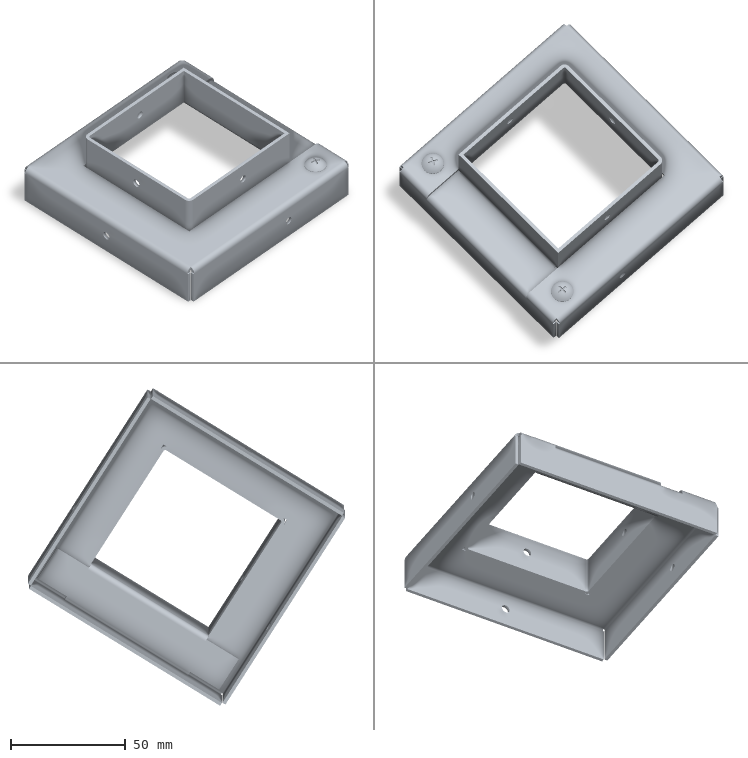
import cadquery as cq
import math

cover_side = 101.6
cover_height = 18.3
total_height = 35.0
collar_side = 63.5

sheet = 1.5
inner_bend = 0.9
outer_bend = inner_bend + sheet

skirt_width = 98.2
skirt_bend_width = 97.3

panel_top = cover_height - sheet
wing_span = 93.5
wing_back = 47.8

front_hole_diameter = 3.8
side_hole_diameter = 3.5
skirt_hole_z = 8.7
collar_hole_z = 27.0
skirt_side_hole_y = 11.2
collar_side_hole_y = 2.3

screw_x = 41.2
screw_y = 38.2
head_diameter = 9.8
head_height = 2.5
head_rim = 0.2
shank_diameter = 4.2
recess_length = 4.3
recess_width = 0.8
recess_depth = 1.0
screw_turns = {-screw_x: 0.0, screw_x: -23.0}

half_cover = cover_side / 2
half_collar = collar_side / 2
plate_edge = half_cover - outer_bend
collar_inside = collar_side - 2 * sheet
panel_underside = panel_top - sheet


def block(x_range, y_range, z_range):
    """Axis-aligned block between pairs of limits."""
    size = [high - low for low, high in (x_range, y_range, z_range)]
    return cq.Workplane("XY").box(*size, centered=False).translate((x_range[0], y_range[0], z_range[0]))


def bend(x_range, center_y, center_z, quadrant_y, quadrant_z):
    """Quarter ring of bent sheet around an axis along X, in the quadrant given by the two signs."""
    diagonal = math.sqrt(0.5)

    def point(radius, along_y, along_z):
        return (center_y + quadrant_y * radius * along_y, center_z + quadrant_z * radius * along_z)

    return (
        cq.Workplane("YZ", origin=(x_range[0], 0, 0))
        .moveTo(*point(inner_bend, 1, 0))
        .lineTo(*point(outer_bend, 1, 0))
        .threePointArc(point(outer_bend, diagonal, diagonal), point(outer_bend, 0, 1))
        .lineTo(*point(inner_bend, 0, 1))
        .threePointArc(point(inner_bend, diagonal, diagonal), point(inner_bend, 1, 0))
        .close()
        .extrude(x_range[1] - x_range[0])
    )


def back_skirt(top, bend_half_width, flange_half_width):
    """Bend and flange along the +Y edge of a plate whose upper face is at the height `top`."""
    bend_z = top - outer_bend
    flange = block(
        (-flange_half_width, flange_half_width), (half_cover - sheet, half_cover), (0, bend_z)
    )
    return bend((-bend_half_width, bend_half_width), plate_edge, bend_z, 1, 1).union(flange)


def hole_along_x(diameter, y, z):
    """Cutter that passes through both side walls."""
    return cq.Workplane("YZ", origin=(-half_cover, y, z)).circle(diameter / 2).extrude(cover_side)


def hole_along_y(diameter, z):
    """Cutter on the centre plane that passes through the front wall only."""
    return cq.Workplane("XZ", origin=(0, 0, z)).circle(diameter / 2).extrude(half_cover)


def screw_holes(top):
    """Cutters for the two screw shanks through one sheet whose upper face is at `top`."""
    return (
        cq.Workplane("XY", origin=(0, 0, top))
        .pushPoints([(x, screw_y) for x in screw_turns])
        .circle(shank_diameter / 2)
        .extrude(-sheet)
    )


def make_cover():
    """Square plate with a skirt on each side and a collar opening that runs out at the back."""
    body = block((-plate_edge, plate_edge), (-plate_edge, plate_edge), (panel_top, cover_height))
    for turn in range(4):
        skirt = back_skirt(cover_height, skirt_bend_width / 2, skirt_width / 2)
        body = body.union(skirt.rotate((0, 0, 0), (0, 0, 1), 90 * turn))
    opening = block((-half_collar, half_collar), (-half_collar, half_cover), (panel_top, cover_height))
    skirt_gap = block((-half_collar, half_collar), (plate_edge, half_cover), (0, cover_height))
    body = body.cut(opening).cut(skirt_gap).cut(screw_holes(cover_height))
    body = body.cut(hole_along_x(side_hole_diameter, skirt_side_hole_y, skirt_hole_z))
    return body.cut(hole_along_y(front_hole_diameter, skirt_hole_z))


def make_collar():
    """U-shaped wall, open at the back, with rounded front corners."""
    height = total_height - panel_top
    outside = cq.Workplane("XY", origin=(0, 0, panel_top)).rect(collar_side, collar_side).extrude(height)
    outside = outside.edges("|Z and <Y").fillet(outer_bend)
    inside = (
        cq.Workplane("XY", origin=(0, sheet, panel_top))
        .rect(collar_inside, collar_side)
        .extrude(height)
        .edges("|Z and <Y")
        .fillet(inner_bend)
    )
    body = outside.cut(inside)
    body = body.cut(hole_along_x(side_hole_diameter, collar_side_hole_y, collar_hole_z))
    return body.cut(hole_along_y(front_hole_diameter, collar_hole_z))


def make_panel():
    """Panel that closes the back: plate with wings under the cover, skirt down and collar wall up."""
    wall_half_width = collar_inside / 2
    fold_y = half_collar + inner_bend
    fold_z = panel_top + inner_bend
    layer = (panel_underside, panel_top)

    strip = block((-half_collar, half_collar), (fold_y, plate_edge), layer)
    wings = block((-wing_span / 2, wing_span / 2), (half_collar, wing_back), layer)
    fold_relief = block((-wall_half_width, wall_half_width), (half_collar, fold_y), layer)
    fold = bend((-wall_half_width, wall_half_width), fold_y, fold_z, -1, -1)
    wall = block(
        (-wall_half_width, wall_half_width), (half_collar - sheet, half_collar), (fold_z, total_height)
    )
    skirt = back_skirt(panel_top, half_collar, half_collar)
    body = strip.union(wings).cut(fold_relief).union(fold).union(wall).union(skirt)
    return body.cut(screw_holes(panel_top))


def make_screw(x, turn):
    """Domed cross-recess screw seated on the cover, its shank ending flush under the panel."""
    head_radius = head_diameter / 2
    dome_height = head_height - head_rim
    dome_radius = (head_radius**2 + dome_height**2) / (2 * dome_height)
    dome = cq.Workplane("XY").sphere(dome_radius).translate((0, 0, head_height - dome_radius))
    head = cq.Workplane("XY").circle(head_radius).extrude(head_height).intersect(dome)
    shank = cq.Workplane("XY").circle(shank_diameter / 2).extrude(panel_underside - cover_height)
    recess = (
        cq.Workplane("XY", origin=(0, 0, head_height))
        .rect(recess_length, recess_width)
        .extrude(-recess_depth)
    )
    recess = recess.union(recess.rotate((0, 0, 0), (0, 0, 1), 90))
    screw = head.union(shank).cut(recess)
    return screw.rotate((0, 0, 0), (0, 0, 1), turn).translate((x, screw_y, cover_height))


cover = make_cover().solids()
collar = make_collar().solids()
panel = make_panel().solids()
screws = [make_screw(x, turn).solids() for x, turn in screw_turns.items()]

result = cq.Compound.makeCompound(
    [cover.val(), collar.val(), panel.val(), *[screw.val() for screw in screws]]
)